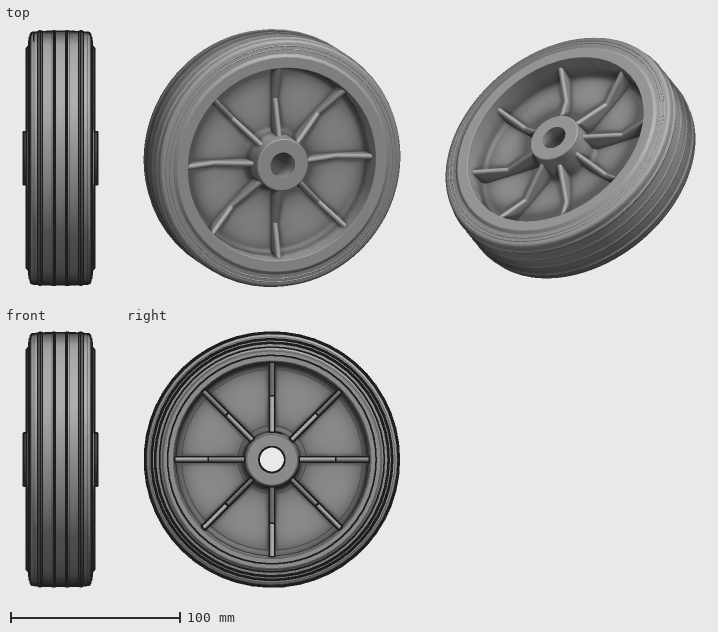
import cadquery as cq
import math


hub_half_length = 22.0
hub_end_radius = 15.7
hub_root_radius = 17.0
bore_radius = 7.5
rim_half_width = 20.2
rim_mouth_radius = 58.0
rim_root_radius = 56.5
web_half_thickness = 2.0
web_fillet = 3.3
hub_edge_fillet = 0.8
rim_edge_fillet = 0.5

spoke_count = 8
spoke_thickness = 3.2
spoke_valley_radius = 37.7
spoke_valley_x = 7.4
spoke_inner_slope = 21.5
spoke_outer_slope = 20.0
spoke_inner_radius = 13.5
spoke_outer_radius = 59.5

seat_radius = 61.6
tyre_radius = 75.4
bead_radius = 64.7
bead_fillet = 1.0
sidewall_foot_x = 18.8
sidewall_foot_radius = 66.5
sidewall_taper = 0.16
corner_radius = 74.3
shoulder_fillet = 2.1
tread_centre_radius = 75.0
crown_arc_radius = 196.0
inner_rib_x = (3.0, 3.9, 5.3)
outer_rib_x = (10.7, 12.0, 13.4)
side_rib_radii = (69.0, 71.1)
side_rib_half_width = 0.3
side_rib_height = 0.3
rib_root_depth = 0.5

radius_tolerance = 0.02


def revolve_about_x(profile):
    return profile.revolve(360, (0, 0, 0), (1, 0, 0))


def circles_of_radius(body, radius):
    return body.edges("%CIRCLE").filter(lambda edge: abs(edge.radius() - radius) < radius_tolerance)


def make_wheel_disc():
    """Hub, web and rim turned as one ring, with its edges rounded."""
    half = [
        (hub_half_length, bore_radius),
        (hub_half_length, hub_end_radius),
        (web_half_thickness, hub_root_radius),
        (web_half_thickness, rim_root_radius),
        (rim_half_width, rim_mouth_radius),
        (rim_half_width, seat_radius),
    ]
    other_half = [(-x, radius) for x, radius in reversed(half)]
    disc = revolve_about_x(cq.Workplane("XY").polyline(half + other_half).close())
    rounded_edges = [
        (hub_root_radius, web_fillet),
        (rim_root_radius, web_fillet),
        (hub_end_radius, hub_edge_fillet),
        (rim_mouth_radius, rim_edge_fillet),
    ]
    for edge_radius, fillet_radius in rounded_edges:
        disc = circles_of_radius(disc, edge_radius).fillet(fillet_radius)
    return disc


def make_spoke():
    """One spoke along +Y; its ends are buried in the hub and the rim."""
    round_radius = spoke_thickness / 2
    inner_rise = (spoke_valley_radius - spoke_inner_radius) * math.tan(math.radians(spoke_inner_slope))
    outer_rise = (spoke_outer_radius - spoke_valley_radius) * math.tan(math.radians(spoke_outer_slope))
    mean_slope = math.radians((spoke_inner_slope + spoke_outer_slope) / 2)
    valley_axis_x = spoke_valley_x - round_radius / math.cos(mean_slope)

    inner = (valley_axis_x + inner_rise, spoke_inner_radius)
    valley = (valley_axis_x, spoke_valley_radius)
    outer = (valley_axis_x + outer_rise, spoke_outer_radius)
    half = [inner, valley, outer]
    other_half = [(-x, radius) for x, radius in reversed(half)]
    spoke = cq.Workplane("XY").polyline(half + other_half).close().extrude(round_radius, both=True)
    for side in (1, -1):
        start = cq.Vector(side * valley[0], valley[1], 0)
        for end_x, end_radius in (inner, outer):
            run = cq.Vector(side * end_x, end_radius, 0) - start
            crest = cq.Solid.makeCylinder(round_radius, run.Length, start, run)
            spoke = spoke.union(cq.Workplane(crest))
    return spoke


def make_wheel():
    wheel = make_wheel_disc()
    spoke = make_spoke()
    for index in range(spoke_count):
        wheel = wheel.union(spoke.rotate((0, 0, 0), (1, 0, 0), index * 360 / spoke_count))
    return wheel


def crown_radius(x):
    """Height of the circular tread crown, before the ribs are added."""
    return tread_centre_radius - crown_arc_radius + math.sqrt(crown_arc_radius**2 - x**2)


def sidewall_x(radius):
    """Half width of the conical sidewall at a given radius."""
    return sidewall_foot_x - (radius - sidewall_foot_radius) * sidewall_taper


def make_rib_ring(foot, crest, other_foot, root):
    """A ring with two flanks that meet at a sharp crest; its root is sunk in the tyre."""
    return revolve_about_x(cq.Workplane("XY").polyline([foot, crest, other_foot, root]).close())


def make_tread_rib(inner_x, crest_x, outer_x):
    return make_rib_ring(
        (inner_x, crown_radius(inner_x)),
        (crest_x, tyre_radius),
        (outer_x, crown_radius(outer_x)),
        (crest_x, crown_radius(crest_x) - rib_root_depth),
    )


def make_side_rib(radius):
    low = radius - side_rib_half_width
    high = radius + side_rib_half_width
    return make_rib_ring(
        (sidewall_x(low), low),
        (sidewall_x(radius) + side_rib_height, radius),
        (sidewall_x(high), high),
        (sidewall_x(radius) - rib_root_depth, radius),
    )


def make_tyre_body():
    """Tyre without ribs: seat, bead, conical sidewalls, rounded shoulders and crown."""
    corner_x = sidewall_x(corner_radius)
    corner = (corner_x, crown_radius(corner_x))
    half = [
        (rim_half_width, seat_radius),
        (rim_half_width, bead_radius),
        (sidewall_foot_x, sidewall_foot_radius),
        corner,
    ]
    other_half = [(-x, radius) for x, radius in half]
    profile = (
        cq.Workplane("XY")
        .polyline(half)
        .threePointArc((0, tread_centre_radius), other_half[-1])
    )
    for point in reversed(other_half[:-1]):
        profile = profile.lineTo(*point)
    body = revolve_about_x(profile.close())
    body = circles_of_radius(body, corner[1]).fillet(shoulder_fillet)
    return circles_of_radius(body, bead_radius).fillet(bead_fillet)


def make_tyre():
    ribs = [make_tread_rib(*rib_x) for rib_x in (inner_rib_x, outer_rib_x)]
    ribs += [make_side_rib(radius) for radius in side_rib_radii]
    tyre = make_tyre_body()
    for rib in ribs:
        tyre = tyre.union(rib).union(rib.mirror("YZ"))
    return tyre


wheel = make_wheel()
tyre = make_tyre()

result = cq.Compound.makeCompound([wheel.solids().val(), tyre.solids().val()])